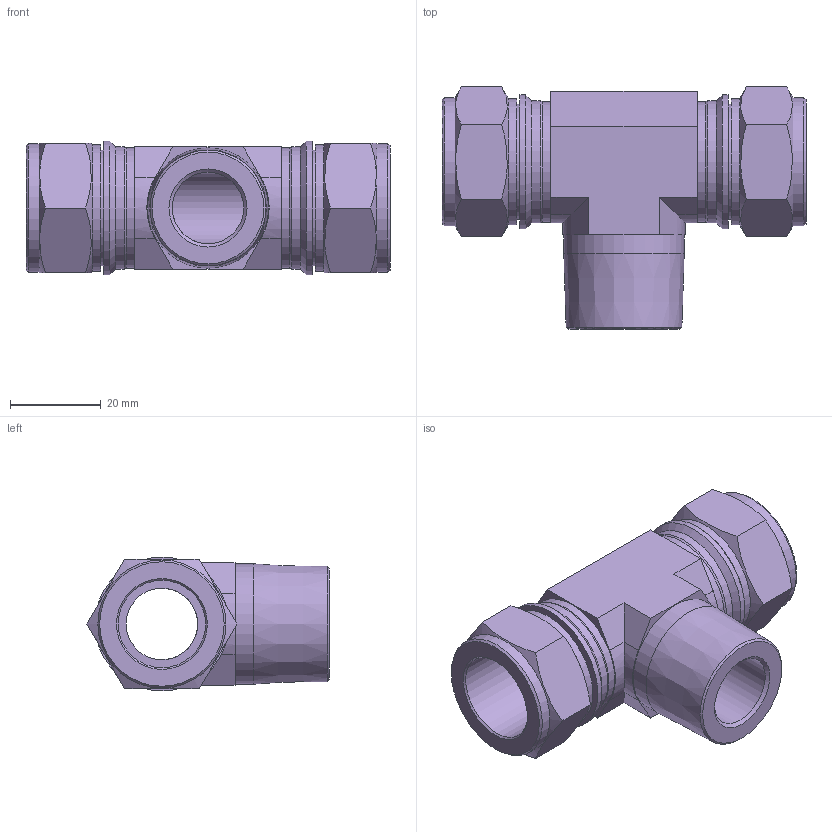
import cadquery as cq
import math


HEX_SIDES = 6
HEX_HALF_ANGLE = math.pi / HEX_SIDES

BODY_FLATS = 26.9
BODY_RADIUS = BODY_FLATS / 2
BODY_REACH = 16.1

RUN_REACH = 40.07
NECK_DIAMETER = 26.5
NECK_END = 18.0
NECK_CONE_START = 18.45
COLLAR_ROOT_DIAMETER = 26.9
COLLAR_DIAMETER = 29.5
COLLAR_START = 21.65
COLLAR_CONE_START = COLLAR_START - (COLLAR_DIAMETER - COLLAR_ROOT_DIAMETER) / 2
COLLAR_END = 22.9
GROOVE_DIAMETER = 25.4

NUT_FLATS = 28.575
NUT_SKIRT_DIAMETER = 27.8
NUT_SKIRT_START = 23.6
NUT_HEX_START = 25.45
NUT_HEX_END = 37.2
NUT_NOSE_DIAMETER = 28.2
NUT_NOSE_EDGE_LENGTH = 0.55
NUT_FACE_DIAMETER = 27.4
NUT_HEX_CHAMFER_ANGLE = 30

BRANCH_REACH = 36.8
BRANCH_DIAMETER = 26.5
TAPER_START = 20.1
TAPER_RATE = 1 / 16
BRANCH_TIP_DIAMETER = 24.6
BRANCH_TIP_EDGE_LENGTH = 0.4
TAPER_END = BRANCH_REACH - BRANCH_TIP_EDGE_LENGTH
TAPER_END_DIAMETER = BRANCH_DIAMETER - (TAPER_END - TAPER_START) * TAPER_RATE

FLOW_BORE = 15.75
BRANCH_MOUTH_DIAMETER = 17.2
BRANCH_MOUTH_DEPTH = 0.7
TUBE_BORE = 19.25
TUBE_DEPTH = 24.0
TUBE_MOUTH_DIAMETER = 20.0
TUBE_MOUTH_DEPTH = 0.4


def hex_corners(flats):
    """Distance across the corners of a hexagon."""
    return flats / math.cos(HEX_HALF_ANGLE)


def along_branch(solid):
    """Turn a solid built along +X so that it points along -Y."""
    return solid.rotate((0, 0, 0), (0, 0, 1), -90)


def turned(profile):
    """Revolve (distance, diameter) steps about X, closed along the axis."""
    points = [(distance, diameter / 2) for distance, diameter in profile]
    outline = [(points[0][0], 0)] + points + [(points[-1][0], 0)]
    return cq.Workplane("XY").polyline(outline).close().revolve(360, (0, 0, 0), (1, 0, 0))


def hex_bar(flats, start, end):
    """Hexagonal bar along X with flats facing up and down and corners along Y."""
    bar = cq.Workplane("YZ").workplane(offset=start)
    return bar.polygon(HEX_SIDES, hex_corners(flats)).extrude(end - start)


def rounded_arm(start, end, round_front, round_back):
    """Hexagonal arm along X; its -Y or +Y corner may be replaced by the inscribed round."""
    arm = hex_bar(BODY_FLATS, start, end)
    core = turned([(start, BODY_FLATS), (end, BODY_FLATS)])
    tangent_offset = BODY_RADIUS * math.cos(HEX_HALF_ANGLE)
    corner_depth = BODY_FLATS
    for is_round, side in ((round_front, -1), (round_back, 1)):
        if is_round:
            corner = cq.Workplane("XY").box(end - start, corner_depth, BODY_FLATS).translate(
                ((start + end) / 2, side * (tangent_offset + corner_depth / 2), 0)
            )
            arm = arm.cut(corner)
    return arm.union(core)


def tee_body():
    run = rounded_arm(-BODY_REACH, BODY_REACH, round_front=True, round_back=False)
    branch = rounded_arm(0, BODY_REACH, round_front=True, round_back=True)
    return run.union(along_branch(branch))


def nut_hexagon():
    """Hexagonal part of the nut with its corners turned off at both ends."""
    corners = hex_corners(NUT_FLATS)
    slope = math.tan(math.radians(NUT_HEX_CHAMFER_ANGLE))
    inner_chamfer = (corners - NUT_SKIRT_DIAMETER) / 2 * slope
    outer_chamfer = (corners - NUT_NOSE_DIAMETER) / 2 * slope
    envelope = turned([
        (NUT_HEX_START, NUT_SKIRT_DIAMETER),
        (NUT_HEX_START + inner_chamfer, corners),
        (NUT_HEX_END - outer_chamfer, corners),
        (NUT_HEX_END, NUT_NOSE_DIAMETER),
    ])
    return hex_bar(NUT_FLATS, NUT_HEX_START, NUT_HEX_END).intersect(envelope)


def run_end():
    """Neck, collar and nut on the +X side of the body."""
    stem = turned([
        (0, NECK_DIAMETER),
        (NECK_END, NECK_DIAMETER),
        (NECK_CONE_START, COLLAR_ROOT_DIAMETER),
        (COLLAR_CONE_START, COLLAR_ROOT_DIAMETER),
        (COLLAR_START, COLLAR_DIAMETER),
        (COLLAR_END, COLLAR_DIAMETER),
        (COLLAR_END, GROOVE_DIAMETER),
        (NUT_SKIRT_START, GROOVE_DIAMETER),
        (NUT_SKIRT_START, NUT_SKIRT_DIAMETER),
        (NUT_HEX_END, NUT_SKIRT_DIAMETER),
        (NUT_HEX_END, NUT_NOSE_DIAMETER),
        (RUN_REACH - NUT_NOSE_EDGE_LENGTH, NUT_NOSE_DIAMETER),
        (RUN_REACH, NUT_FACE_DIAMETER),
    ])
    return stem.union(nut_hexagon())


def male_branch():
    return along_branch(turned([
        (0, BRANCH_DIAMETER),
        (TAPER_START, BRANCH_DIAMETER),
        (TAPER_END, TAPER_END_DIAMETER),
        (BRANCH_REACH, BRANCH_TIP_DIAMETER),
    ]))


def tube_bore():
    """Flow bore and tube socket of the +X end."""
    return turned([
        (0, FLOW_BORE),
        (RUN_REACH - TUBE_DEPTH, FLOW_BORE),
        (RUN_REACH - TUBE_DEPTH, TUBE_BORE),
        (RUN_REACH - TUBE_MOUTH_DEPTH, TUBE_BORE),
        (RUN_REACH, TUBE_MOUTH_DIAMETER),
    ])


def branch_bore():
    return along_branch(turned([
        (0, FLOW_BORE),
        (BRANCH_REACH - BRANCH_MOUTH_DEPTH, FLOW_BORE),
        (BRANCH_REACH, BRANCH_MOUTH_DIAMETER),
    ]))


fitting = tee_body().union(male_branch())
for end in (run_end(), run_end().mirror("YZ")):
    fitting = fitting.union(end)
for bore in (tube_bore(), tube_bore().mirror("YZ"), branch_bore()):
    fitting = fitting.cut(bore)
result = fitting